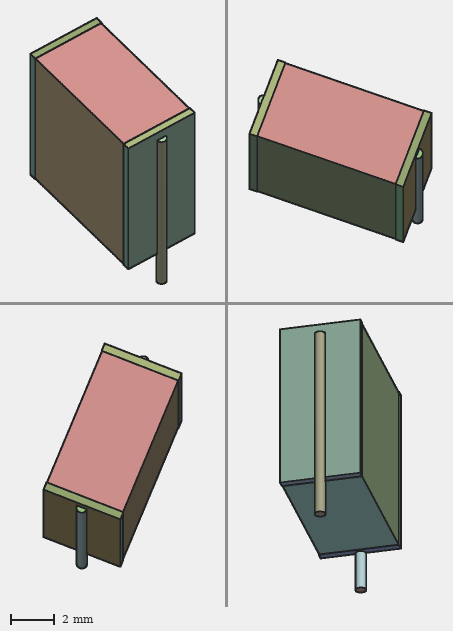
import cadquery as cq

cap_height = 8.0
cap_depth = 3.8
cap_thickness = 0.375
lead_diameter = 0.5
lead_spacing = 7.5
lead_protrusion = 1.9
lead_top_gap = 0.5
body_inset = 0.02

caps_span = lead_spacing
body_length = caps_span - 2 * cap_thickness
body_depth = cap_depth - 2 * body_inset
body_height = cap_height - 2 * body_inset
lead_length = cap_height - lead_top_gap + lead_protrusion


def make_body():
    """Rectangular block between the two end caps."""
    return (
        cq.Workplane("XY")
        .workplane(offset=body_inset)
        .box(body_length, body_depth, body_height, centered=(True, True, False))
    )


def make_end_cap(side):
    """Thin end plate; side is -1 or +1 along X."""
    center_x = side * (caps_span - cap_thickness) / 2
    return (
        cq.Workplane("XY")
        .center(center_x, 0)
        .box(cap_thickness, cap_depth, cap_height, centered=(True, True, False))
    )


def make_lead(side):
    """Round vertical wire half sunk into the outer face of an end cap."""
    return (
        cq.Workplane("XY")
        .workplane(offset=-lead_protrusion)
        .center(side * lead_spacing / 2, 0)
        .circle(lead_diameter / 2)
        .extrude(lead_length)
    )


result = make_body()
for side in (-1, 1):
    result = result.union(make_end_cap(side)).union(make_lead(side))